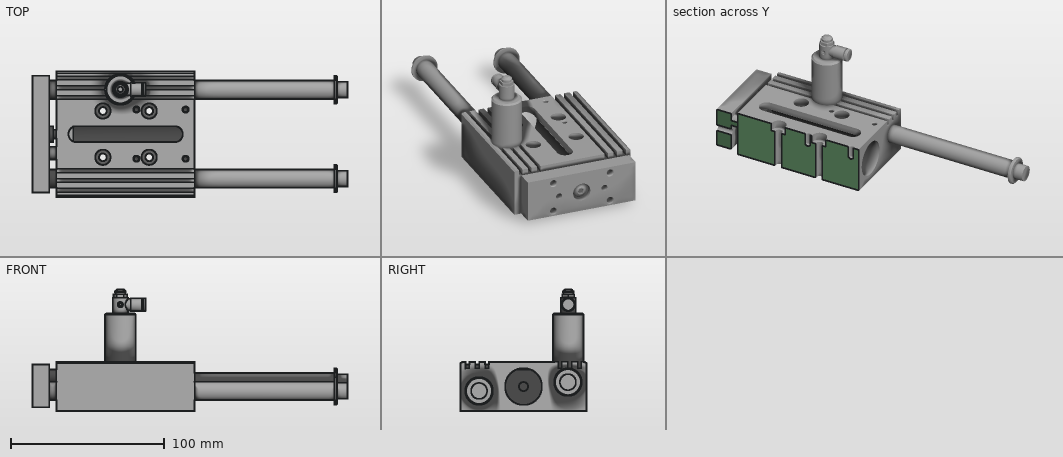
import cadquery as cq
import math

BLOCK_START = 15.5
BLOCK_LENGTH = 90.0
BLOCK_WIDTH = 82.0
BLOCK_HEIGHT = 32.0
BLOCK_END = BLOCK_START + BLOCK_LENGTH
MID_HEIGHT = BLOCK_HEIGHT / 2
EDGE_CHAMFER_WIDTH = 1.2
EDGE_CHAMFER_DROP = 0.8

GROOVE_WIDTH = 2.5
GROOVE_DEPTH = 4.0
GROOVE_OFFSETS = (23.8, 30.1, 36.5)

SLOT_START = 23.4
SLOT_END = 97.8
SLOT_WIDTH = 10.5
SLOT_DEPTH = 5.1
BORE_DIAMETER = 24.0
BORE_START = 26.6

MOUNT_HOLE_DIAMETER = 5.0
MOUNT_COUNTERBORE_DIAMETER = 10.0
MOUNT_COUNTERBORE_DEPTH = 5.3
MOUNT_SPACING = 30.1
MOUNT_CENTER_X = 60.9

TAPPED_DIAMETER = 3.3
TAPPED_MOUTH_DIAMETER = 4.0
TAPPED_DEPTH = 8.2
TAPPED_SPACING = 32.0
TAPPED_CENTER_X = 83.6
DRILL_TIP_ANGLE = 118.0

TOWER_X = 57.2
TOWER_Y = 29.1
TOWER_DIAMETER = 20.0
TOWER_TOP = 63.8
TOWER_CHAMFER = 1.0
NECK_DIAMETER = 10.0
NECK_TOP = 73.8
NUT_ACROSS_CORNERS = 9.2
NUT_TOP = 76.0
STEM_DIAMETER = 6.5
STEM_TOP = 77.3
KNOB_STEPS = (
    (7.2, STEM_TOP),
    (7.2, 78.0),
    (6.2, 78.3),
    (5.0, 79.0),
    (3.5, 79.3),
)
PORT_HEIGHT = 69.3
OUTLET_STEPS = (
    (64.0, 7.8),
    (71.1, 8.6),
    (72.0, 5.1),
    (73.8, 8.6),
)
OUTLET_END_CHAMFER = 0.5
VENT_DIAMETER = 3.5
VENT_DEPTH = 0.6
VENT_BORE_DIAMETER = 2.0
VENT_BORE_DEPTH = 2.0

PLATE_THICKNESS = 11.0
PLATE_WIDTH = 76.0
PLATE_BOTTOM = 2.5
PLATE_HEIGHT = 27.9

ROD_DIAMETER = 12.0
ROD_OFFSET = 29.0
ROD_HEIGHT_SHIFT = 2.9
COLLAR_START = 196.4
COLLAR_THICKNESS = 1.8
COLLAR_DIAMETER = 18.0
COLLAR_CHAMFER = 0.6
STUB_DIAMETER = 10.5
OVERALL_LENGTH = 205.0

PISTON_ROD_DIAMETER = 6.0
PISTON_NUT_DIAMETER = 10.5
PISTON_NUT_LENGTH = 2.5
SCREW_RECESS_DIAMETER = 12.0
SCREW_RECESS_DEPTH = 3.3
SCREW_HEAD_DIAMETER = 10.0
SCREW_HEAD_TOP_DIAMETER = 5.0
SCREW_HEAD_HEIGHT = 1.8
SCREW_SOCKET_DIAMETER = 4.0
SCREW_SOCKET_DEPTH = 1.6

STOP_DIAMETER = 8.5
STOP_Y = -12.3
STOP_HEIGHT = 23.0

PLATE_HOLE_DIAMETER = 4.0
PLATE_HOLE_MOUTH_DIAMETER = 5.1
PLATE_HOLE_SPACING_Y = 40.0
PLATE_HOLE_SPACING_Z = 20.0
PIN_HOLE_DIAMETER = 4.0
PIN_HOLE_SPACING = 32.0


def x_cylinder(diameter, start, end, y, z):
    """Cylinder along X between two X positions."""
    return cq.Workplane("YZ", origin=(start, y, z)).circle(diameter / 2).extrude(end - start)


def z_cylinder(diameter, bottom, top, x, y):
    """Cylinder along Z between two heights."""
    return cq.Workplane("XY", origin=(x, y, bottom)).circle(diameter / 2).extrude(top - bottom)


def rod_height(side):
    return MID_HEIGHT + side * ROD_HEIGHT_SHIFT


def block_profile():
    half = BLOCK_WIDTH / 2
    shoulder = BLOCK_HEIGHT - EDGE_CHAMFER_DROP
    return (
        cq.Workplane("YZ", origin=(BLOCK_START, 0, 0))
        .moveTo(-half, 0)
        .lineTo(half, 0)
        .lineTo(half, shoulder)
        .lineTo(half - EDGE_CHAMFER_WIDTH, BLOCK_HEIGHT)
        .lineTo(-half + EDGE_CHAMFER_WIDTH, BLOCK_HEIGHT)
        .lineTo(-half, shoulder)
        .close()
        .extrude(BLOCK_LENGTH)
    )


def top_grooves():
    """Straight grooves along X in the top face."""
    places = [(0, side * offset) for side in (-1, 1) for offset in GROOVE_OFFSETS]
    return (
        cq.Workplane("XY", origin=(BLOCK_START + BLOCK_LENGTH / 2, 0, BLOCK_HEIGHT - GROOVE_DEPTH))
        .pushPoints(places)
        .rect(BLOCK_LENGTH, GROOVE_WIDTH)
        .extrude(GROOVE_DEPTH)
    )


def top_slot():
    return (
        cq.Workplane("XY", origin=((SLOT_START + SLOT_END) / 2, 0, BLOCK_HEIGHT - SLOT_DEPTH))
        .slot2D(SLOT_END - SLOT_START, SLOT_WIDTH)
        .extrude(SLOT_DEPTH)
    )


def tapped_hole(x, y):
    """Blind hole with a conical bottom and a countersunk mouth."""
    radius = TAPPED_DIAMETER / 2
    mouth_radius = TAPPED_MOUTH_DIAMETER / 2
    tip = radius / math.tan(math.radians(DRILL_TIP_ANGLE / 2))
    return (
        cq.Workplane("XZ", origin=(x, y, BLOCK_HEIGHT))
        .lineTo(mouth_radius, 0)
        .lineTo(radius, radius - mouth_radius)
        .lineTo(radius, -TAPPED_DEPTH)
        .lineTo(0, -TAPPED_DEPTH - tip)
        .close()
        .revolve(360, (0, 0), (0, 1))
    )


def make_block():
    block = block_profile().cut(top_grooves()).cut(top_slot())
    block = block.cut(x_cylinder(BORE_DIAMETER, BORE_START, BLOCK_END, 0, MID_HEIGHT))
    block = block.cut(x_cylinder(PISTON_ROD_DIAMETER, BLOCK_START, BORE_START, 0, MID_HEIGHT))
    for side in (-1, 1):
        rod_hole = x_cylinder(ROD_DIAMETER, BLOCK_START, BLOCK_END, side * ROD_OFFSET, rod_height(side))
        block = block.cut(rod_hole)
    block = (
        block.faces(">Z")
        .workplane(origin=(MOUNT_CENTER_X, 0, BLOCK_HEIGHT))
        .rarray(MOUNT_SPACING, MOUNT_SPACING, 2, 2)
        .cboreHole(MOUNT_HOLE_DIAMETER, MOUNT_COUNTERBORE_DIAMETER, MOUNT_COUNTERBORE_DEPTH)
    )
    for side_x in (-1, 1):
        for side_y in (-1, 1):
            x = TAPPED_CENTER_X + side_x * TAPPED_SPACING / 2
            block = block.cut(tapped_hole(x, side_y * TAPPED_SPACING / 2))
    return block


def make_tower():
    """Valve tower with hexagon nut, knob, side outlet and vent hole."""
    tower = z_cylinder(TOWER_DIAMETER, BLOCK_HEIGHT - GROOVE_DEPTH, TOWER_TOP, TOWER_X, TOWER_Y)
    tower = tower.faces(">Z").chamfer(TOWER_CHAMFER)
    tower = tower.union(z_cylinder(NECK_DIAMETER, TOWER_TOP, NECK_TOP, TOWER_X, TOWER_Y))
    nut = (
        cq.Workplane("XY", origin=(TOWER_X, TOWER_Y, NECK_TOP))
        .polygon(6, NUT_ACROSS_CORNERS)
        .extrude(NUT_TOP - NECK_TOP)
    )
    tower = tower.union(nut)
    tower = tower.union(z_cylinder(STEM_DIAMETER, NUT_TOP, STEM_TOP, TOWER_X, TOWER_Y))
    knob = cq.Workplane("XZ", origin=(TOWER_X, TOWER_Y, 0)).moveTo(0, STEM_TOP)
    for diameter, height in KNOB_STEPS:
        knob = knob.lineTo(diameter / 2, height)
    knob = knob.lineTo(0, height).close().revolve(360, (0, 0), (0, 1))
    tower = tower.union(knob)
    start = TOWER_X
    for end, diameter in OUTLET_STEPS:
        tower = tower.union(x_cylinder(diameter, start, end, TOWER_Y, PORT_HEIGHT))
        start = end
    tower = tower.faces(">X").edges().chamfer(OUTLET_END_CHAMFER)
    neck_front = TOWER_Y - NECK_DIAMETER / 2
    for diameter, depth in ((VENT_DIAMETER, VENT_DEPTH), (VENT_BORE_DIAMETER, VENT_BORE_DEPTH)):
        vent = (
            cq.Workplane("XZ", origin=(TOWER_X, neck_front + depth, PORT_HEIGHT))
            .circle(diameter / 2)
            .extrude(depth)
        )
        tower = tower.cut(vent)
    return tower


def make_guide_rod(side):
    """Guide rod from the plate to the collar and the end stub."""
    y = side * ROD_OFFSET
    z = rod_height(side)
    collar_end = COLLAR_START + COLLAR_THICKNESS
    collar = x_cylinder(COLLAR_DIAMETER, COLLAR_START, collar_end, y, z)
    collar = collar.faces(">X").chamfer(COLLAR_CHAMFER)
    rod = x_cylinder(ROD_DIAMETER, PLATE_THICKNESS, COLLAR_START, y, z)
    stub = x_cylinder(STUB_DIAMETER, collar_end, OVERALL_LENGTH, y, z)
    return rod.union(collar).union(stub)


def plate_hole(y, z):
    """Through hole along X with a countersunk mouth on the outer face."""
    radius = PLATE_HOLE_DIAMETER / 2
    mouth_radius = PLATE_HOLE_MOUTH_DIAMETER / 2
    return (
        cq.Workplane("XY", origin=(0, y, z))
        .lineTo(0, mouth_radius)
        .lineTo(mouth_radius - radius, radius)
        .lineTo(PLATE_THICKNESS, radius)
        .lineTo(PLATE_THICKNESS, 0)
        .close()
        .revolve(360, (0, 0), (1, 0))
    )


def screw_head():
    """Cone-topped screw head with a hexagon socket, sitting in the plate recess."""
    top = SCREW_RECESS_DEPTH - SCREW_HEAD_HEIGHT
    head = (
        cq.Workplane("XY", origin=(0, 0, MID_HEIGHT))
        .moveTo(top, 0)
        .lineTo(top, SCREW_HEAD_TOP_DIAMETER / 2)
        .lineTo(SCREW_RECESS_DEPTH, SCREW_HEAD_DIAMETER / 2)
        .lineTo(SCREW_RECESS_DEPTH, 0)
        .close()
        .revolve(360, (0, 0), (1, 0))
    )
    socket = (
        cq.Workplane("YZ", origin=(top, 0, MID_HEIGHT))
        .polygon(6, SCREW_SOCKET_DIAMETER)
        .extrude(SCREW_SOCKET_DEPTH)
    )
    return head.cut(socket)


def make_plate():
    plate = cq.Workplane("XY", origin=(0, 0, PLATE_BOTTOM)).box(
        PLATE_THICKNESS, PLATE_WIDTH, PLATE_HEIGHT, centered=(False, True, False)
    )
    for side_y in (-1, 1):
        for side_z in (-1, 1):
            z = MID_HEIGHT + side_z * PLATE_HOLE_SPACING_Z / 2
            plate = plate.cut(plate_hole(side_y * PLATE_HOLE_SPACING_Y / 2, z))
        pin_y = side_y * PIN_HOLE_SPACING / 2
        plate = plate.cut(x_cylinder(PIN_HOLE_DIAMETER, 0, PLATE_THICKNESS, pin_y, MID_HEIGHT))
    return plate.cut(x_cylinder(SCREW_RECESS_DIAMETER, 0, SCREW_RECESS_DEPTH, 0, MID_HEIGHT))


def make_slide():
    slide = make_plate().union(screw_head())
    for side in (-1, 1):
        slide = slide.union(make_guide_rod(side))
    nut_end = PLATE_THICKNESS + PISTON_NUT_LENGTH
    slide = slide.union(x_cylinder(PISTON_NUT_DIAMETER, PLATE_THICKNESS, nut_end, 0, MID_HEIGHT))
    slide = slide.union(x_cylinder(PISTON_ROD_DIAMETER, nut_end, BORE_START, 0, MID_HEIGHT))
    return slide.union(x_cylinder(STOP_DIAMETER, PLATE_THICKNESS, BLOCK_START, STOP_Y, STOP_HEIGHT))


housing = make_block().union(make_tower())
slide = make_slide()
result = cq.Compound.makeCompound([housing.val(), slide.val()])